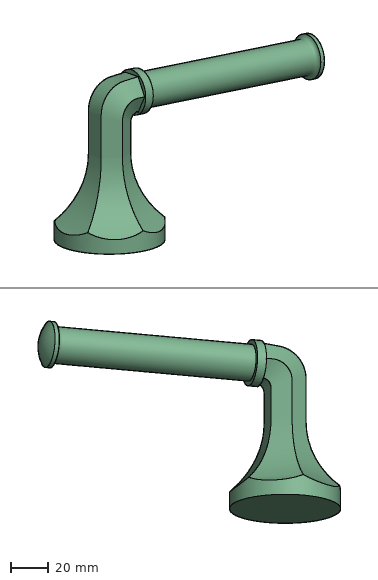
import cadquery as cq
import math

total_length = 170.0
total_height = 92.5
base_diameter = 60.0
base_radius = base_diameter / 2
rim_height = 8.2
hex_flats = 20.0
hex_apothem = hex_flats / 2
hex_corner = hex_apothem / math.cos(math.radians(30))
flare_radius = 50.0
flare_spread = base_radius - hex_apothem
flare_top = rim_height + math.sqrt(flare_radius**2 - (flare_radius - flare_spread)**2)

rod_radius = 10.0
flange_radius = 12.5
rod_axis_z = total_height - flange_radius
collar_start = 15.0
collar_end = 20.0
dome_height = 4.2
flange_thickness = 2.5
rod_tip = total_length - base_radius
flange_end = rod_tip - dome_height
flange_start = flange_end - flange_thickness
neck_fillet = flange_radius - rod_radius

outer_bend_start = 72.2
outer_bend_end = (5.6, 89.0)
middle_bend_start = 68.8
middle_bend_end = (10.2, rod_axis_z)
inner_bend_start = 65.3
inner_bend_end = (14.5, 70.4)


def make_flared_base():
    """Round base whose six concave flanks sweep up into a hexagon."""
    half_bend = math.asin((flare_top - rim_height) / flare_radius) / 2
    mid_x = hex_apothem + flare_radius * (1 - math.cos(half_bend))
    mid_z = flare_top - flare_radius * math.sin(half_bend)
    profile = (
        cq.Workplane("YZ")
        .moveTo(-base_radius, 0)
        .lineTo(base_radius, 0)
        .lineTo(base_radius, rim_height)
        .threePointArc((mid_x, mid_z), (hex_apothem, flare_top))
        .lineTo(-hex_apothem, flare_top)
        .threePointArc((-mid_x, mid_z), (-base_radius, rim_height))
        .close()
    )
    flank_pair = profile.extrude(base_radius, both=True)
    base = cq.Workplane("XY").circle(base_radius).extrude(flare_top)
    for angle in (0, 60, 120):
        base = base.intersect(flank_pair.rotate((0, 0, 0), (0, 0, 1), angle))
    return base


def elbow_edge(x, y, bend_start, bend_end, end_z):
    """One long corner edge: upright line, bend, then line to the collar."""
    foot = cq.Vector(x, y, flare_top)
    bend_from = cq.Vector(x, y, bend_start)
    bend_to = cq.Vector(x, *bend_end)
    end = cq.Vector(x, collar_start, end_z)
    return [
        cq.Edge.makeLine(foot, bend_from),
        cq.Edge.makeTangentArc(bend_from, cq.Vector(0, 0, 1), bend_to),
        cq.Edge.makeLine(bend_to, end),
    ]


def make_elbow():
    """Hexagonal neck and elbow, skinned between its six corner edges."""
    half_side = hex_corner / 2
    outer = (-hex_apothem, outer_bend_start, outer_bend_end, rod_axis_z + hex_apothem)
    middle = (0, middle_bend_start, middle_bend_end, rod_axis_z)
    inner = (hex_apothem, inner_bend_start, inner_bend_end, rod_axis_z - hex_apothem)
    corners = [
        elbow_edge(-half_side, *outer),
        elbow_edge(half_side, *outer),
        elbow_edge(hex_corner, *middle),
        elbow_edge(half_side, *inner),
        elbow_edge(-half_side, *inner),
        elbow_edge(-hex_corner, *middle),
    ]
    faces = []
    for corner, next_corner in zip(corners, corners[1:] + corners[:1]):
        for edge, next_edge in zip(corner, next_corner):
            faces.append(cq.Face.makeRuledSurface(edge, next_edge))
    foot_outline = [corner[0].startPoint() for corner in corners]
    end_outline = [corner[-1].endPoint() for corner in corners]
    for outline in (foot_outline, end_outline):
        faces.append(cq.Face.makeFromWires(cq.Wire.makePolygon(outline, close=True)))
    solid = cq.Solid.makeSolid(cq.Shell.makeShell(faces))
    return cq.Workplane(solid.fix())


def make_post():
    return make_flared_base().union(make_elbow())


def make_rod():
    """Turned rod with a collar at one end and a domed knob at the other."""
    diagonal = math.sqrt(0.5)
    fillet_mid = (
        flange_radius - neck_fillet * diagonal,
        flange_start - neck_fillet + neck_fillet * diagonal,
    )
    dome_radius = (flange_radius**2 + dome_height**2) / (2 * dome_height)
    dome_mid_x = flange_radius / 2
    dome_mid_y = rod_tip - dome_radius + math.sqrt(dome_radius**2 - dome_mid_x**2)
    return (
        cq.Workplane("XY")
        .moveTo(0, collar_start)
        .lineTo(flange_radius, collar_start)
        .lineTo(flange_radius, collar_end)
        .lineTo(rod_radius, collar_end)
        .lineTo(rod_radius, flange_start - neck_fillet)
        .threePointArc(fillet_mid, (flange_radius, flange_start))
        .lineTo(flange_radius, flange_end)
        .threePointArc((dome_mid_x, dome_mid_y), (0, rod_tip))
        .close()
        .revolve(360, (0, 0, 0), (0, 1, 0))
        .translate((0, 0, rod_axis_z))
    )


post = make_post()
rod = make_rod()
result = cq.Compound.makeCompound([*post.solids().vals(), rod.val()])